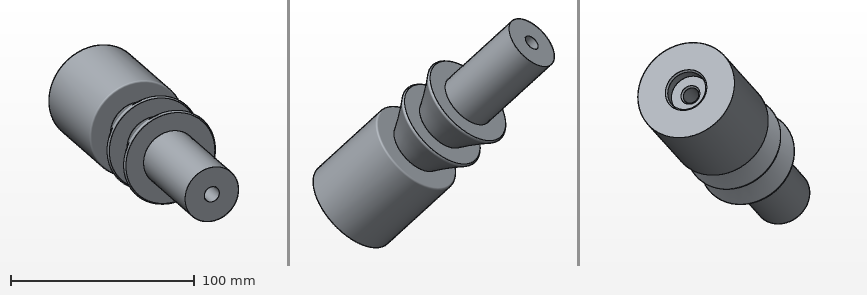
import cadquery as cq
import math

total_length = 153.9
collar_length = 55.0
collar_diameter = 56.0
stem_diameter = 32.0

fin_count = 2
fin_pitch = 22.0
fin_diameter = 54.6
fin_rim_width = 1.7
fin_rim_drop = 0.8
fin_flank_drop = 0.2
fin_flank_hollow = 0.5

bore_diameter = 9.0
recess_diameter = 22.0
recess_depth = 7.0
edge_break = 1.0

collar_start = -total_length / 2
collar_end = collar_start + collar_length
fin_radius = fin_diameter / 2
stem_radius = stem_diameter / 2
bore_radius = bore_diameter / 2


def cylinder(start, length, diameter):
    """Solid cylinder along +X from the given X position."""
    return cq.Workplane("YZ", origin=(start, 0, 0)).circle(diameter / 2).extrude(length)


def make_collar():
    """Large cylinder with a recess in its outer end and a through bore."""
    body = cylinder(collar_start, collar_length, collar_diameter)
    body = body.faces(">X").edges().fillet(edge_break)
    body = body.cut(cylinder(collar_start, recess_depth, recess_diameter))
    body = body.cut(cylinder(collar_start, collar_length, bore_diameter))
    recess_mouth = body.faces("<X").edges(cq.selectors.RadiusNthSelector(0))
    body = recess_mouth.chamfer(edge_break)
    floor_x = collar_start + recess_depth
    bore_mouth = body.edges(cq.selectors.BoxSelector(
        (floor_x - edge_break / 2, -bore_diameter, -bore_diameter),
        (floor_x + edge_break / 2, bore_diameter, bore_diameter),
    ))
    bore_mouth = bore_mouth.edges(cq.selectors.RadiusNthSelector(0))
    return bore_mouth.chamfer(edge_break)


def add_fin(profile, start):
    """Extend the profile by one fin: hollow flank, rounded rim and flat back."""
    end = start + fin_pitch
    flank_end = end - fin_rim_width
    flank_run = flank_end - start
    flank_top = fin_radius - fin_flank_drop
    flank_rise = flank_top - stem_radius
    flank_chord = math.hypot(flank_run, flank_rise)
    flank_middle = (
        (start + flank_end) / 2 + fin_flank_hollow * flank_rise / flank_chord,
        (stem_radius + flank_top) / 2 - fin_flank_hollow * flank_run / flank_chord,
    )
    return (
        profile.threePointArc(flank_middle, (flank_end, flank_top))
        .threePointArc((end - fin_rim_width / 2, fin_radius), (end, fin_radius - fin_rim_drop))
        .lineTo(end, stem_radius)
    )


def make_sleeve():
    """Finned sleeve and its plain stem, turned in one piece around the bore."""
    profile = cq.Workplane("XY").moveTo(collar_end, bore_radius).lineTo(collar_end, stem_radius)
    for fin in range(fin_count):
        profile = add_fin(profile, collar_end + fin * fin_pitch)
    stem_end = total_length / 2
    profile = profile.lineTo(stem_end, stem_radius).lineTo(stem_end, bore_radius).close()
    return profile.revolve(360, (0, 0, 0), (1, 0, 0))


collar = make_collar()
sleeve = make_sleeve()
result = cq.Compound.makeCompound([collar.val(), sleeve.val()])